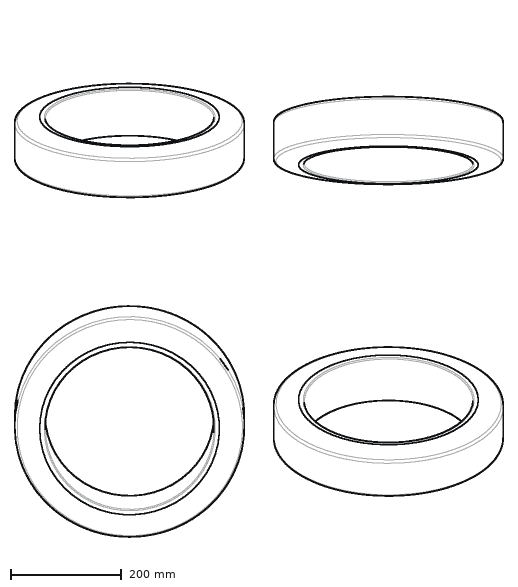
import cadquery as cq
import math

outer_radius = 207.5
height = 90.0
half_height = height / 2

bore_radius = 152.5
liner_radius = 162.3
bore_edge_round = 2.0

slope_angle = 10.0
rim_round = 5.0
slope_drop = (outer_radius - liner_radius) * math.tan(math.radians(slope_angle))
rim_half_height = half_height - slope_drop


def make_liner():
    """Plain sleeve with both bore edges rounded."""
    sleeve = (
        cq.Workplane("XY", origin=(0, 0, -half_height))
        .circle(liner_radius)
        .circle(bore_radius)
        .extrude(height)
    )
    bore_edges = cq.selectors.RadiusNthSelector(0)
    return sleeve.edges("%CIRCLE").edges(bore_edges).fillet(bore_edge_round)


def make_outer_ring():
    """Ring revolved from a section that is tallest where it meets the liner."""
    section = [
        (liner_radius, -half_height),
        (outer_radius, -rim_half_height),
        (outer_radius, rim_half_height),
        (liner_radius, half_height),
    ]
    ring = cq.Workplane("XZ").polyline(section).close().revolve(360, (0, 0), (0, 1))
    rim_edges = cq.selectors.RadiusNthSelector(-1)
    return ring.edges("%CIRCLE").edges(rim_edges).fillet(rim_round)


liner = make_liner().solids()
outer_ring = make_outer_ring().solids()

result = cq.Compound.makeCompound([liner.val(), outer_ring.val()])